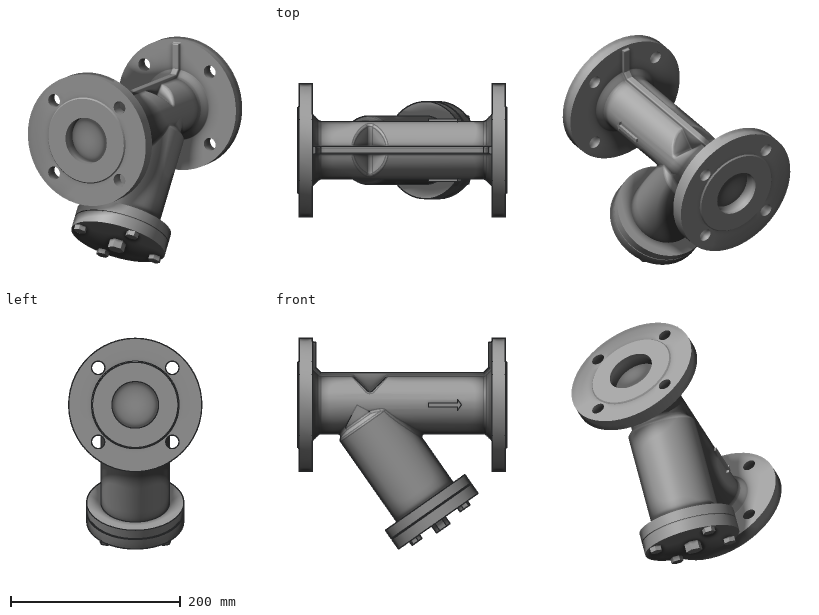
import cadquery as cq
import math

FLATS_PER_CORNER = math.cos(math.radians(30))
TOUCH = 1e-3

LENGTH = 246.34
PIPE_R = 34.0
BORE_R = 27.5
FLANGE_R = 78.55
FLANGE_T = 15.8
FACE_T = 1.6
FACE_ROOT_R = 51.6
FACE_TIP_R = 50.2
BOLT_HOLE_R = 7.75
BOLT_HOLE_OFFSET = 43.6
HUB_ROOT_R = 42.2
HUB_FILLET = 5.0
HUB_ROOT_FILLET = 1.5
HUB_ANGLE = math.radians(45)

HALF = LENGTH / 2
FLANGE_OUTER_X = HALF - FACE_T
FLANGE_INNER_X = FLANGE_OUTER_X - FLANGE_T
HUB_END_X = FLANGE_INNER_X - (HUB_ROOT_R - PIPE_R) / math.tan(HUB_ANGLE)
BORE_DEPTH = FLANGE_T + FACE_T

BRANCH_X = -53.4
BRANCH_ANGLE = 55.0
NECK_R = PIPE_R
BRANCH_R = 40.5
CONE_START = 16.5
CONE_END = CONE_START + BRANCH_R - NECK_R
JUNCTION_FILLET = 3.5
COVER_R = 57.3
COVER_FLANGE_START = 140.1
COVER_FLANGE_T = 12.0
GASKET_T = 1.4
GASKET_R = 55.5
COVER_T = 13.8
BRANCH_END = COVER_FLANGE_START + COVER_FLANGE_T + GASKET_T + COVER_T
PLUG_FLATS = 17.0
PLUG_H = 10.2
SCREW_FLATS = 13.0
SCREW_H = 5.6
SCREW_COUNT = 4
SCREW_CIRCLE_R = 48.8
SCREW_START_ANGLE = 45

RIB_HALF_W = 4.3
RIB_H = 4.25
RIB_TOP_Z = 74.0
RIB_ROUND = 1.5

POCKET_X = -38.1
POCKET_APEX_Z = 13.6
POCKET_FLOOR_R = 4.0
POCKET_RIM_FILLET = 3.5

ARROW_TAIL_X = 30.8
ARROW_NECK_X = 65.2
ARROW_TIP_X = 69.6
ARROW_SHAFT_HALF = 2.3
ARROW_HEAD_HALF = 6.4
ARROW_ROOT_Y = 30.0
ARROW_OUTER_Y = 37.0


def make_run():
    """Pipe with hubs and flanges, one solid of revolution."""
    right_half = [
        (HUB_END_X, PIPE_R),
        (FLANGE_INNER_X, HUB_ROOT_R),
        (FLANGE_INNER_X, FLANGE_R),
        (FLANGE_OUTER_X, FLANGE_R),
        (FLANGE_OUTER_X, FACE_ROOT_R),
        (HALF, FACE_TIP_R),
        (HALF, 0),
    ]
    left_half = [(-x, r) for x, r in reversed(right_half)]
    run = cq.Workplane("XZ").polyline(left_half + right_half).close()
    run = run.revolve(360, (0, 0, 0), (1, 0, 0))
    run = run.edges(ring_at(HUB_END_X, PIPE_R)).fillet(HUB_FILLET)
    return run.edges(ring_at(FLANGE_INNER_X, HUB_ROOT_R)).fillet(HUB_ROOT_FILLET)


def ring_at(x, radius):
    """Selector for the circles of one radius at +x and -x."""
    margin = 0.1
    reach = radius + margin
    right, left = [
        cq.selectors.BoxSelector((c - margin, -reach, -reach), (c + margin, reach, reach), True)
        for c in (x, -x)
    ]
    return right + left


def branch_plane(distance):
    """Plane square to the branch axis; local X points down to the left."""
    angle = math.radians(BRANCH_ANGLE)
    axis = (math.cos(angle), 0, -math.sin(angle))
    across = (-math.sin(angle), 0, -math.cos(angle))
    origin = (BRANCH_X + distance * axis[0], 0, distance * axis[2])
    return cq.Plane(origin=origin, xDir=across, normal=axis)


def touches(edge, shapes):
    """True if the middle of the edge lies on any of the shapes."""
    middle = cq.Vertex.makeVertex(*edge.positionAt(0.5).toTuple())
    return any(middle.distance(shape) < TOUCH for shape in shapes)


def seam_edges(body, first, second):
    """Edges of the body that lie on the surfaces of both given parts."""
    first_faces = first.faces().vals()
    second_faces = second.faces().vals()
    edges = body.edges().vals()
    return [e for e in edges if touches(e, first_faces) and touches(e, second_faces)]


def make_branch():
    """Neck, shoulder cone and barrel, revolved about the branch axis."""
    profile = [
        (0, 0),
        (NECK_R, 0),
        (NECK_R, CONE_START),
        (BRANCH_R, CONE_END),
        (BRANCH_R, COVER_FLANGE_START),
        (0, COVER_FLANGE_START),
    ]
    base = branch_plane(0)
    side_plane = cq.Plane(origin=base.origin, xDir=base.xDir, normal=-base.yDir)
    branch = cq.Workplane(side_plane).polyline(profile).close()
    return branch.revolve(360, (0, 0, 0), (0, 1, 0))


def branch_circle(distance, radius):
    """Circle around the branch axis."""
    return cq.Workplane(branch_plane(distance)).circle(radius).edges()


def join_branch(run, pipe, branch):
    """Unite run and branch; the equal-radius crossing stays sharp, the rest is filleted."""
    body = run.union(branch)
    blends = [e for e in seam_edges(body, pipe, branch) if e.geomType() != "ELLIPSE"]
    cone_rims = branch_circle(CONE_START, NECK_R).vals() + branch_circle(CONE_END, BRANCH_R).vals()
    blends += [e for e in body.edges("%CIRCLE").vals() if touches(e, cone_rims)]
    return body.newObject(blends).fillet(JUNCTION_FILLET)


def make_rib():
    """Raised rib along the pipe top, up both hubs and the inner flange faces."""
    bend = RIB_H * math.tan(HUB_ANGLE / 2)
    face_x = FLANGE_INNER_X - RIB_H
    root_x = FLANGE_INNER_X + FLANGE_T / 2
    right_half = [
        (HUB_END_X - bend, PIPE_R + RIB_H),
        (face_x, HUB_ROOT_R + bend),
        (face_x, RIB_TOP_Z),
        (root_x, RIB_TOP_Z),
        (root_x, 0),
    ]
    left_half = [(-x, z) for x, z in reversed(right_half)]
    rib = cq.Workplane("XZ").polyline(left_half + right_half).close()
    rib = rib.extrude(RIB_HALF_W, both=True)
    exposed = cq.selectors.BoxSelector(
        (-FLANGE_INNER_X, -FLANGE_R, PIPE_R), (FLANGE_INNER_X, FLANGE_R, FLANGE_R)
    )
    side_edges = rib.edges("#Y").edges(exposed)
    tip_z = RIB_TOP_Z - TOUCH
    tips = [e for e in rib.edges("|Y").edges(exposed).vals() if e.Center().z > tip_z]
    return rib.newObject(side_edges.vals() + tips).fillet(RIB_ROUND)


def make_pocket(side):
    """V-shaped cutter with a rounded floor, on the +Y (side = 1) or -Y (side = -1) flank."""
    top_z = PIPE_R + RIB_H
    half_width = top_z - POCKET_APEX_Z
    pocket = cq.Workplane("XZ", origin=(0, side * RIB_HALF_W, 0))
    pocket = pocket.moveTo(POCKET_X, POCKET_APEX_Z).lineTo(POCKET_X + half_width, top_z)
    pocket = pocket.lineTo(POCKET_X - half_width, top_z).close().extrude(-side * PIPE_R)
    return pocket.edges("|Y").edges("<Z").fillet(POCKET_FLOOR_R)


def add_rib_and_pockets(run):
    """Rib and pockets; each pocket ends on a web flush with the side of the rib."""
    rib = make_rib()
    body = run.union(rib)
    pockets = make_pocket(1).add(make_pocket(-1)).combine()
    body = body.cut(pockets)
    half_width = PIPE_R - POCKET_APEX_Z
    web = cq.selectors.BoxSelector(
        (POCKET_X - half_width, -RIB_HALF_W - TOUCH, POCKET_APEX_Z),
        (POCKET_X + half_width, RIB_HALF_W + TOUCH, PIPE_R - RIB_ROUND),
    )
    feet = seam_edges(body, run, rib) + body.edges(web).vals()
    body = body.newObject(feet).fillet(RIB_ROUND)
    rims = seam_edges(body, run, pockets)
    return body.newObject(rims).fillet(POCKET_RIM_FILLET)


def make_arrow(side):
    """Raised flow arrow on one flank of the pipe, pointing to +X."""
    upper = [
        (ARROW_TAIL_X, ARROW_SHAFT_HALF),
        (ARROW_NECK_X, ARROW_SHAFT_HALF),
        (ARROW_NECK_X, ARROW_HEAD_HALF),
    ]
    lower = [(x, -z) for x, z in reversed(upper)]
    arrow = cq.Workplane("XZ", origin=(0, side * ARROW_ROOT_Y, 0))
    arrow = arrow.polyline(upper + [(ARROW_TIP_X, 0)] + lower).close()
    return arrow.extrude(-side * (ARROW_OUTER_Y - ARROW_ROOT_Y))


def disc(start, thickness, radius):
    """Disc on the branch axis."""
    return cq.Workplane(branch_plane(start)).circle(radius).extrude(thickness)


def make_cover():
    """Branch flange, recessed gasket, cover, drain plug and cover screws."""
    gasket_start = COVER_FLANGE_START + COVER_FLANGE_T
    cover_start = gasket_start + GASKET_T
    cover = disc(COVER_FLANGE_START, COVER_FLANGE_T, COVER_R)
    cover = cover.union(disc(gasket_start, GASKET_T, GASKET_R))
    cover = cover.union(disc(cover_start, COVER_T, COVER_R))
    outer_face = cq.Workplane(branch_plane(BRANCH_END))
    plug = outer_face.polygon(6, PLUG_FLATS / FLATS_PER_CORNER).extrude(PLUG_H)
    screws = outer_face.polarArray(SCREW_CIRCLE_R, SCREW_START_ANGLE, 360, SCREW_COUNT)
    screws = screws.polygon(6, SCREW_FLATS / FLATS_PER_CORNER).extrude(SCREW_H)
    return cover.union(plug).union(screws)


def cut_bores_and_holes(body):
    """Blind bore at each end and four bolt holes through each flange."""
    for side in (-1, 1):
        end = cq.Workplane("YZ", origin=(side * HALF, 0, 0))
        body = body.cut(end.circle(BORE_R).extrude(-side * BORE_DEPTH))
        holes = end.rect(2 * BOLT_HOLE_OFFSET, 2 * BOLT_HOLE_OFFSET, forConstruction=True)
        body = body.cut(holes.vertices().circle(BOLT_HOLE_R).extrude(-side * BORE_DEPTH))
    return body


pipe_run = make_run()
body = join_branch(add_rib_and_pockets(pipe_run), pipe_run, make_branch())
for flank in (-1, 1):
    body = body.union(make_arrow(flank))
body = body.union(make_cover())
result = cut_bores_and_holes(body)